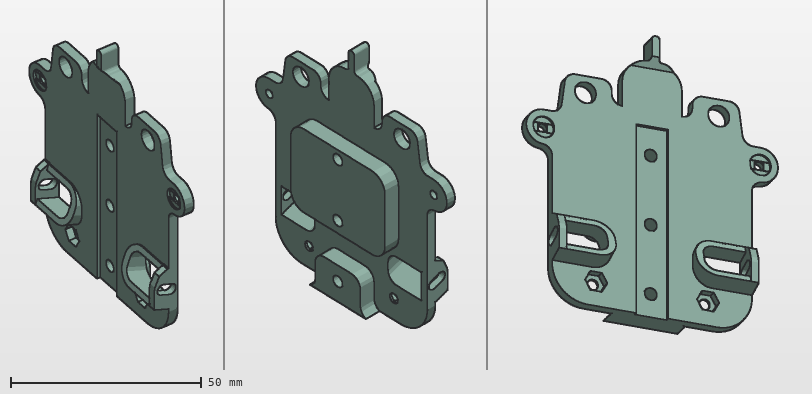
import cadquery as cq
import math

plate_thickness = 3.0
plate_half_width = 28.5
bottom_corner_radius = 10.0
outline_radius = 3.0

ear_x = 30.895
ear_z = 49.1
ear_radius = 5.0

shoulder_top = 65.9
shoulder_inner_x = 11.5
shoulder_lean = math.radians(7.6)
shoulder_outer_x = 24.54
shoulder_hole_x = 19.0
shoulder_hole_z = 61.1
shoulder_hole_diameter = 6.0
shoulder_floor = 59.1

overall_height = 79.75
tab_half_width = 8.5
tab_top = 72.7
tab_radius = 6.3
finger_half_width = 1.1
finger_depth = 5.5
finger_tip_radius = 1.0
finger_chamfer_top = 73.8

groove_width = 9.0
groove_top = 54.6
groove_depth = 1.0
groove_hole_diameter = 3.5
groove_hole_pitch = 20.0
groove_hole_count = 3
first_groove_hole_z = 6.7

ear_hole_diameter = 2.53
ear_seat_diameter = 6.0
ear_seat_depth = 0.5
ear_step_depth = 0.3

nut_x = 15.95
nut_z = 7.1
nut_across_flats = 5.5
nut_pocket_depth = 2.3
nut_hole_diameter = 3.0

pad_height = 5.0
upper_pad_half_width = 17.7
upper_pad_bottom = 22.5
upper_pad_top = 49.9
upper_pad_radius = 5.0
lower_pad_half_width = 8.5
lower_pad_top = 12.0
lower_pad_radius = 3.5
lower_pad_flare_z = 3.2

loop_tilt = 20.0
loop_reach = 4.61
loop_bottom = 12.7
loop_height = 12.5
loop_inner_x = 11.5
loop_radius = 5.5
loop_wall = 2.25
window_bottom_wall = 1.85
window_height = 8.75
window_radius = loop_radius - loop_wall
end_wall_thickness = 2.2
end_wall_profile = [(3.0, 23.1), (4.35, 19.95), (loop_reach, 18.5), (loop_reach, loop_bottom)]
end_wall_top = 24.6
slot_length = 6.1
slot_width = 3.2
slot_out = 0.6
slot_z = 17.75


def front_plane(out=0.0):
    """XZ sketch plane, moved towards -Y; extrusion also runs towards -Y."""
    return cq.Workplane("XZ", origin=(0, -out, 0))


def both_sides(half):
    """Add the mirror image across the YZ plane."""
    return half.union(half.mirror("YZ"))


def on_circle(center, radius, angle):
    return (center[0] + radius * math.cos(angle), center[1] + radius * math.sin(angle))


def arc(sketch, center, radius, start, end):
    """Continue a sketch along an arc, angles in radians, from its start point."""
    middle = on_circle(center, radius, (start + end) / 2)
    return sketch.threePointArc(middle, on_circle(center, radius, end))


def plate():
    quarter = math.pi / 2
    corner = (plate_half_width - bottom_corner_radius, bottom_corner_radius)
    ear = (ear_x, ear_z)
    ear_top = ear_z + ear_radius

    under_x = plate_half_width + outline_radius
    under_drop = math.sqrt((ear_radius + outline_radius) ** 2 - (under_x - ear_x) ** 2)
    under = (under_x, ear_z - under_drop)
    under_angle = math.atan2(under_drop, ear_x - under_x)

    round_offset = outline_radius * math.tan((quarter - shoulder_lean) / 2)
    foot_x = shoulder_outer_x + (shoulder_top - ear_top) * math.tan(shoulder_lean)
    foot = (foot_x + round_offset, ear_top + outline_radius)
    outer = (shoulder_outer_x - round_offset, shoulder_top - outline_radius)
    inner = (shoulder_inner_x + outline_radius, shoulder_top - outline_radius)
    notch = (shoulder_inner_x - outline_radius, shoulder_floor + outline_radius)

    s = front_plane().moveTo(0, 0).lineTo(corner[0], 0)
    s = arc(s, corner, bottom_corner_radius, -quarter, 0)
    s = s.lineTo(plate_half_width, under[1])
    s = arc(s, under, outline_radius, math.pi, under_angle)
    s = arc(s, ear, ear_radius, under_angle - math.pi, quarter)
    s = s.lineTo(foot[0], ear_top)
    s = arc(s, foot, outline_radius, 3 * quarter, math.pi + shoulder_lean)
    s = s.lineTo(*on_circle(outer, outline_radius, shoulder_lean))
    s = arc(s, outer, outline_radius, shoulder_lean, quarter)
    s = s.lineTo(inner[0], shoulder_top)
    s = arc(s, inner, outline_radius, quarter, math.pi)
    s = s.lineTo(shoulder_inner_x, notch[1])
    s = arc(s, notch, outline_radius, 0, -quarter)
    s = s.lineTo(0, shoulder_floor).close()
    return both_sides(s.extrude(plate_thickness))


def tab():
    """Round-cornered tab with a finger; a 45 degree slope leads down to the plate face."""
    quarter = math.pi / 2
    blend_radius = tab_half_width - tab_radius - finger_half_width
    corner = (tab_half_width - tab_radius, tab_top - tab_radius)
    blend = (finger_half_width + blend_radius, tab_top + blend_radius)
    tip = (finger_half_width - finger_tip_radius, overall_height - finger_tip_radius)

    s = front_plane().moveTo(0, shoulder_floor).lineTo(tab_half_width, shoulder_floor)
    s = s.lineTo(tab_half_width, corner[1])
    s = arc(s, corner, tab_radius, 0, quarter)
    s = arc(s, blend, blend_radius, 3 * quarter, math.pi)
    s = s.lineTo(finger_half_width, tip[1])
    s = arc(s, tip, finger_tip_radius, 0, quarter)
    s = s.lineTo(0, overall_height).close()
    body = both_sides(s.extrude(finger_depth))

    slope_bottom = finger_chamfer_top - (finger_depth - plate_thickness)
    side_profile = [
        (0, shoulder_floor),
        (-plate_thickness, shoulder_floor),
        (-plate_thickness, slope_bottom),
        (-finger_depth, finger_chamfer_top),
        (-finger_depth, overall_height),
        (0, overall_height),
    ]
    envelope = cq.Workplane("YZ").polyline(side_profile).close().extrude(tab_half_width, both=True)
    return body.intersect(envelope)


def back_pads():
    upper = (
        front_plane()
        .center(0, (upper_pad_bottom + upper_pad_top) / 2)
        .rect(2 * upper_pad_half_width, upper_pad_top - upper_pad_bottom)
        .extrude(-pad_height)
        .edges("|Y")
        .fillet(upper_pad_radius)
    )
    quarter = math.pi / 2
    flare = (lower_pad_half_width + lower_pad_radius, lower_pad_flare_z)
    flare_angle = math.pi + math.asin(lower_pad_flare_z / lower_pad_radius)
    corner = (lower_pad_half_width - lower_pad_radius, lower_pad_top - lower_pad_radius)
    s = front_plane().moveTo(0, 0).lineTo(*on_circle(flare, lower_pad_radius, flare_angle))
    s = arc(s, flare, lower_pad_radius, flare_angle, math.pi)
    s = s.lineTo(lower_pad_half_width, corner[1])
    s = arc(s, corner, lower_pad_radius, 0, quarter)
    s = s.lineTo(0, lower_pad_top).close()
    return upper.union(both_sides(s.extrude(-pad_height)))


def loop_plane():
    """Plane of the right loop's front face: origin on its lower edge, local y up the tilted face."""
    tilt = math.radians(loop_tilt)
    return cq.Plane(
        origin=(0, -plate_thickness - loop_reach, loop_bottom),
        xDir=(1, 0, 0),
        normal=(0, -math.cos(tilt), math.sin(tilt)),
    )


def loop_prism(inner_x, outer_x, bottom, height, radius):
    """Bar with rounded inner corners, running back from the loop's front face through the plate."""
    plane = loop_plane()
    depth = 2 * (plate_thickness + loop_reach)
    return (
        cq.Workplane(plane)
        .center((inner_x + outer_x) / 2, bottom + height / 2)
        .rect(outer_x - inner_x, height)
        .extrude(-depth)
        .faces("<X")
        .edges(cq.selectors.ParallelDirSelector(plane.zDir))
        .fillet(radius)
    )


def end_wall():
    """Flat wall closing the loop; its underside continues the tilted lower face of the ring."""
    profile = [(-plate_thickness - out, z) for out, z in end_wall_profile]
    heel_z = loop_bottom - (plate_thickness + loop_reach) * math.tan(math.radians(loop_tilt))
    outline = [(0, heel_z), (0, end_wall_top), (-plate_thickness, end_wall_top)] + profile
    start_x = plate_half_width - end_wall_thickness
    return cq.Workplane("YZ", origin=(start_x, 0, 0)).polyline(outline).close().extrude(end_wall_thickness)


def loop():
    """Right-hand loop: tilted ring plus its end wall."""
    ring = loop_prism(loop_inner_x, plate_half_width, 0, loop_height, loop_radius)
    front_space = (
        front_plane()
        .rect(2 * plate_half_width, 2 * overall_height)
        .extrude(plate_thickness + loop_reach)
    )
    return ring.intersect(front_space).union(end_wall())


def loop_cuts():
    window = loop_prism(
        loop_inner_x + loop_wall,
        plate_half_width - end_wall_thickness,
        window_bottom_wall,
        window_height,
        window_radius,
    )
    slot_origin = (plate_half_width - end_wall_thickness, -plate_thickness - slot_out, slot_z)
    slot = (
        cq.Workplane("YZ", origin=slot_origin)
        .slot2D(slot_length, slot_width, -loop_tilt)
        .extrude(end_wall_thickness)
    )
    return both_sides(window.union(slot))


def groove():
    """Groove open at the bottom edge; the rectangle is centred on Z = 0."""
    return front_plane(plate_thickness - groove_depth).rect(groove_width, 2 * groove_top).extrude(groove_depth)


def groove_holes():
    centers = [(0, first_groove_hole_z + i * groove_hole_pitch) for i in range(groove_hole_count)]
    return (
        front_plane(-pad_height)
        .pushPoints(centers)
        .circle(groove_hole_diameter / 2)
        .extrude(pad_height + plate_thickness)
    )


def ear_seat():
    """Round seat, then a slot, then a square, each one step deeper, down to the through hole."""

    def cutter(depth):
        return front_plane(plate_thickness - depth).center(ear_x, ear_z)

    slot_depth = ear_seat_depth + ear_step_depth
    square_depth = slot_depth + ear_step_depth
    seat = cutter(ear_seat_depth).circle(ear_seat_diameter / 2).extrude(ear_seat_depth)
    bar = cutter(slot_depth).rect(ear_seat_diameter, ear_hole_diameter).extrude(slot_depth)
    round_limit = cutter(slot_depth).circle(ear_seat_diameter / 2).extrude(slot_depth)
    square = cutter(square_depth).rect(ear_hole_diameter, ear_hole_diameter).extrude(square_depth)
    hole = cutter(plate_thickness).circle(ear_hole_diameter / 2).extrude(plate_thickness)
    return both_sides(seat.union(bar.intersect(round_limit)).union(square).union(hole))


def shoulder_hole():
    center = front_plane().center(shoulder_hole_x, shoulder_hole_z)
    return both_sides(center.circle(shoulder_hole_diameter / 2).extrude(plate_thickness))


def nut_pocket():
    across_corners = nut_across_flats / math.cos(math.pi / 6)
    pocket = (
        front_plane(plate_thickness - nut_pocket_depth)
        .center(nut_x, nut_z)
        .polygon(6, across_corners)
        .extrude(nut_pocket_depth)
    )
    hole = front_plane().center(nut_x, nut_z).circle(nut_hole_diameter / 2).extrude(plate_thickness)
    return both_sides(pocket.union(hole))


body = plate().union(tab()).union(back_pads()).union(both_sides(loop()))
for cutter_body in (loop_cuts(), groove(), groove_holes(), ear_seat(), shoulder_hole(), nut_pocket()):
    body = body.cut(cutter_body)
result = body